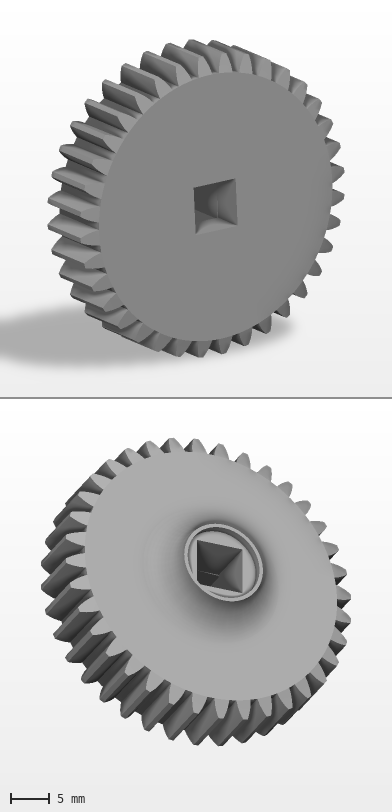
import cadquery as cq
import math

hub_length = 4.0
rim_width = 9.45
total_length = hub_length + rim_width
rim_middle = hub_length + rim_width / 2

tooth_count = 36
tooth_pitch = 360 / tooth_count
tip_radius = 20.1
root_radius = 17.73
middle_radius = (tip_radius + root_radius) / 2
tip_thickness = 0.7
middle_thickness = 1.65
root_thickness = 2.1
tooth_overlap = 0.4
chamfer_width = 0.75

hub_radius = 5.55
hub_fillet = 3.97
recess_radius = 5.05
recess_depth = 1.2
square_side = 6.38
far_square_turn = 2.8


def flank_point(radius, thickness):
    """Half-thickness and height of a flank point on a tooth that points along +Z."""
    half = thickness / 2
    return half, math.sqrt(radius**2 - half**2)


def make_tooth():
    """One tooth with curved flanks, centred on the +Z direction."""
    tip_y, tip_z = flank_point(tip_radius, tip_thickness)
    middle_y, middle_z = flank_point(middle_radius, middle_thickness)
    root_y, root_z = flank_point(root_radius, root_thickness)
    base_z = root_radius - tooth_overlap
    return (
        cq.Workplane("YZ", origin=(hub_length, 0, 0))
        .moveTo(-root_y, base_z)
        .lineTo(-root_y, root_z)
        .threePointArc((-middle_y, middle_z), (-tip_y, tip_z))
        .threePointArc((0, tip_radius), (tip_y, tip_z))
        .threePointArc((middle_y, middle_z), (root_y, root_z))
        .lineTo(root_y, base_z)
        .close()
        .extrude(rim_width)
    )


def make_tooth_envelope():
    """Turned blank whose conical ends bevel the teeth from root to tip."""
    profile = [
        (hub_length, 0),
        (hub_length, root_radius),
        (hub_length + chamfer_width, tip_radius),
        (total_length - chamfer_width, tip_radius),
        (total_length, root_radius),
        (total_length, 0),
    ]
    return cq.Workplane("XY").polyline(profile).close().revolve(360, (0, 0, 0), (1, 0, 0))


def make_rim():
    """Solid disc carrying the ring of bevelled teeth; a tooth gap is centred on +Z."""
    rim = cq.Workplane("YZ", origin=(hub_length, 0, 0)).circle(root_radius).extrude(rim_width)
    tooth = make_tooth()
    for index in range(tooth_count):
        angle = (index + 0.5) * tooth_pitch
        rim = rim.union(tooth.rotate((0, 0, 0), (1, 0, 0), angle))
    return rim.intersect(make_tooth_envelope())


def make_hub():
    """Hub that flares into the rim face through a concave quarter-round; its core runs through the rim."""
    flare_radius = hub_radius + hub_fillet
    arc_offset = hub_fillet * math.sqrt(0.5)
    arc_middle = (hub_length - hub_fillet + arc_offset, flare_radius - arc_offset)
    return (
        cq.Workplane("XY")
        .lineTo(0, hub_radius)
        .lineTo(hub_length - hub_fillet, hub_radius)
        .threePointArc(arc_middle, (hub_length, flare_radius))
        .lineTo(total_length, flare_radius)
        .lineTo(total_length, 0)
        .close()
        .revolve(360, (0, 0, 0), (1, 0, 0))
    )


def make_bore():
    """Square through hole, slightly turned in its far half, with a round recess at the hub end."""
    near_square = cq.Workplane("YZ").rect(square_side, square_side).extrude(rim_middle)
    far_square = (
        cq.Workplane("YZ", origin=(rim_middle, 0, 0))
        .rect(square_side, square_side)
        .extrude(total_length - rim_middle)
        .rotate((0, 0, 0), (1, 0, 0), far_square_turn)
    )
    recess = cq.Workplane("YZ").circle(recess_radius).extrude(recess_depth)
    return near_square.union(far_square).union(recess)


result = make_rim().union(make_hub()).cut(make_bore())